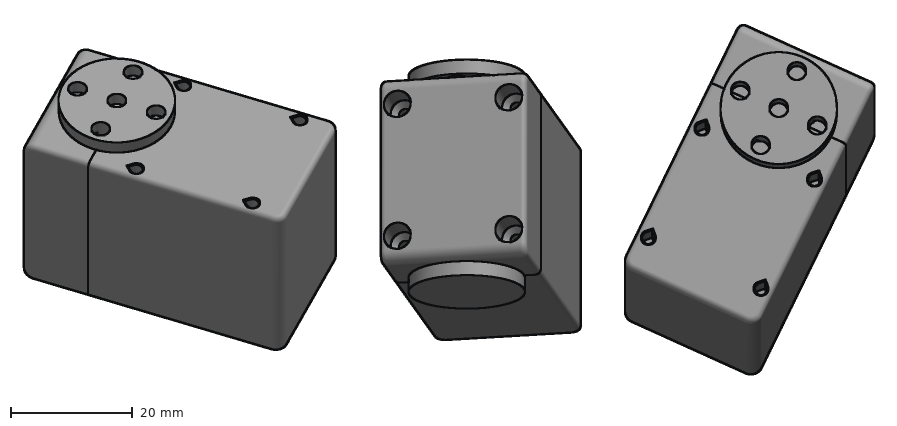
import cadquery as cq
import math

LENGTH = 46.35
WIDTH = 24.7
HEIGHT = 31.65
CORNER_RADIUS = 2.0
EDGE_RADIUS = 0.97
CAP_LENGTH = 11.78

SCREW_SPACING_Y = 18.75
SCREW_SPACING_Z = 22.65
SCREW_HOLE_DIAMETER = 2.2
SCREW_HEAD_DIAMETER = 4.5
SCREW_HEAD_DEPTH = 5.55

MOUNT_FIRST_X = 19.5
MOUNT_SPACING_X = 20.68
MOUNT_SPACING_Y = 20.5
MOUNT_HOLE_DIAMETER = 2.1
MOUNT_HOLE_DEPTH = 4.65
MOUNT_HOLE_CHAMFER = 0.2

DISC_DIAMETER = 19.2
DISC_THICKNESS = 2.4
HORN_X = CAP_LENGTH
HORN_Y = 0.1
NECK_DIAMETER = 11.9
NECK_HEIGHT = 0.65
HORN_GAP = 0.1
HORN_HOLE_DIAMETER = 3.05
HORN_HOLE_CIRCLE_RADIUS = 7.0

IDLER_X = 11.25


def housing_block():
    """The rounded outer block that the cap and the case share."""
    block = cq.Workplane("XY").box(LENGTH, WIDTH, HEIGHT, centered=(False, True, False))
    block = block.edges("|Y and <X").fillet(CORNER_RADIUS)
    block = block.edges("|Z and >X").fillet(CORNER_RADIUS)
    return block.edges("|X and <Y and >Z").fillet(EDGE_RADIUS)


def block_slice(start_x, end_x):
    """The part of the housing block between two X positions."""
    slab = cq.Workplane("XY").box(end_x - start_x, WIDTH, HEIGHT, centered=(False, True, False))
    return housing_block().intersect(slab.translate((start_x, 0, 0)))


def screw_hole():
    """Revolved cutter along X: head bore, 45-degree conical seat and clearance hole."""
    head_radius = SCREW_HEAD_DIAMETER / 2
    hole_radius = SCREW_HOLE_DIAMETER / 2
    seat_end = SCREW_HEAD_DEPTH + head_radius - hole_radius
    profile = cq.Workplane("XY").polyline([
        (0, 0),
        (0, head_radius),
        (SCREW_HEAD_DEPTH, head_radius),
        (seat_end, hole_radius),
        (CAP_LENGTH, hole_radius),
        (CAP_LENGTH, 0),
    ])
    return profile.close().revolve(360, (0, 0, 0), (1, 0, 0))


def make_cap():
    cap = block_slice(0, CAP_LENGTH)
    for side_y in (-1, 1):
        for side_z in (-1, 1):
            y = side_y * SCREW_SPACING_Y / 2
            z = HEIGHT / 2 + side_z * SCREW_SPACING_Z / 2
            cap = cap.cut(screw_hole().translate((0, y, z)))
    return cap


def teardrop(radius):
    """Circle outline whose -X side runs out along two 45-degree tangents to a point."""
    tangent = radius * math.sqrt(0.5)
    return (
        cq.Workplane("XY")
        .moveTo(-radius * math.sqrt(2), 0)
        .lineTo(-tangent, -tangent)
        .threePointArc((radius, 0), (-tangent, tangent))
        .close()
    )


def mount_hole():
    """Teardrop cutter with a chamfered mouth at Z = 0."""
    mouth_radius = MOUNT_HOLE_DIAMETER / 2 + MOUNT_HOLE_CHAMFER
    bore = teardrop(MOUNT_HOLE_DIAMETER / 2).extrude(-MOUNT_HOLE_DEPTH)
    mouth = teardrop(mouth_radius).extrude(-MOUNT_HOLE_CHAMFER, taper=45)
    return bore.union(mouth)


def make_case():
    case = block_slice(CAP_LENGTH, LENGTH)
    for x in (MOUNT_FIRST_X, MOUNT_FIRST_X + MOUNT_SPACING_X):
        for side_y in (-1, 1):
            y = side_y * MOUNT_SPACING_Y / 2
            case = case.cut(mount_hole().translate((x, y, HEIGHT)))
    return case


def make_horn():
    """Disc on a short neck; the outer holes go through both, the centre one only through the disc."""
    horn = (
        cq.Workplane("XY")
        .circle(NECK_DIAMETER / 2)
        .extrude(NECK_HEIGHT)
        .faces(">Z")
        .workplane()
        .circle(DISC_DIAMETER / 2)
        .extrude(DISC_THICKNESS)
    )
    top = horn.faces(">Z").workplane()
    horn = top.polarArray(HORN_HOLE_CIRCLE_RADIUS, 0, 360, 4).hole(HORN_HOLE_DIAMETER)
    horn = horn.faces(">Z").workplane(origin=(0, 0, 0)).hole(HORN_HOLE_DIAMETER, DISC_THICKNESS)
    return horn.translate((HORN_X, HORN_Y, HEIGHT + HORN_GAP))


def make_idler():
    disc = cq.Workplane("XY").circle(DISC_DIAMETER / 2).extrude(-DISC_THICKNESS)
    return disc.translate((IDLER_X, 0, 0))


cap = make_cap()
case = make_case()
horn = make_horn()
idler = make_idler()

result = cq.Compound.makeCompound([cap.val(), case.val(), horn.val(), idler.val()])